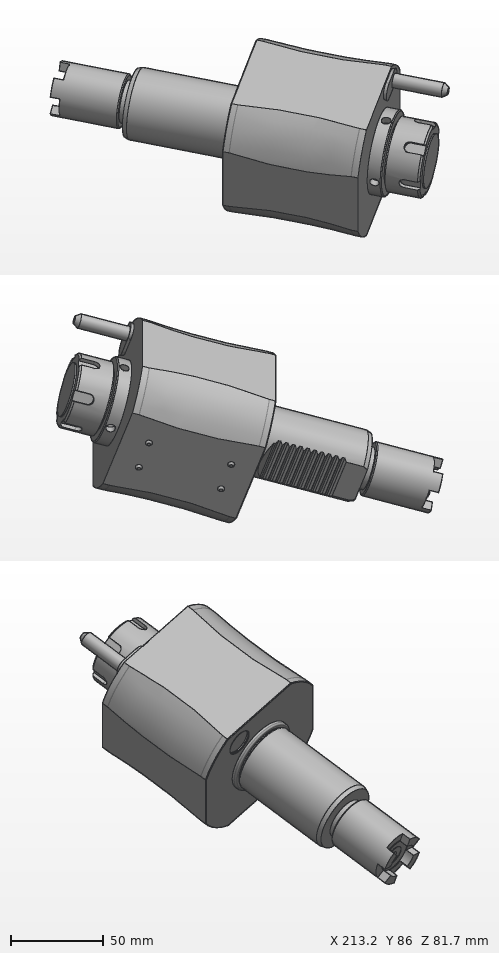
import cadquery as cq
import math


body_start = 104.7
body_end = 180.8
body_width = 86.0
body_height = 80.4
corner_radius = 47.5
waist_radius = 46.3
land_length = 3.8
edge_chamfer = 0.5

drive_radius = 15.1
drive_end = 38.2
drive_chamfer = 0.6
tooth_length = 5.3
tooth_inner_radius = 10.0
notch_half_angle = 24.5
notch_count = 4
core_recess = 0.5
center_step_radius = 5.5
center_step_depth = 0.2
center_hole_radius = 2.0
center_hole_depth = 2.1

neck_radius = 12.0
shank_start = 42.0
shank_radius = 20.0
shank_chamfer_length = 2.5
shank_chamfer_height = 0.9
relief_start = 101.0
relief_end = 102.1
relief_radius = 19.5
collar_radius = 22.0
collar_round = 1.0

flat_drop = 16.0
flat_end = 95.7
groove_pitch = 4.0
groove_depth = 1.3
groove_floor = 1.3
groove_count = 10
first_groove = 56.5

flange_end = 188.7
flange_radius = 24.0
flange_chamfer = 0.6
nut_start = 190.0
nut_end = 209.1
nut_radius = 20.9
nut_chamfer = 1.0
gap_radius = 18.1
nose_radius = 15.1
nose_end = 210.0
spanner_slot_count = 6
spanner_slot_start = 197.8
spanner_slot_width = 6.0
spanner_slot_depth = 2.3
pin_hole_count = 4
pin_hole_x = 184.8
pin_hole_radius = 2.5
pin_hole_depth = 4.3
pin_hole_point = 1.5

pipe_y = 23.2
pipe_z = 32.0
pipe_radius = 4.0
pipe_end = 213.2
pipe_tip_length = 2.8
pipe_tip_radius = 2.1
seat_y = 18.5
seat_z = 33.3
seat_length = 19.8
seat_height = 10.2
seat_thickness = 2.0
seat_flare = 18.0
plug_y = 16.0
plug_z = 27.7
plug_radius = 7.7
plug_depth = 1.3
plug_chamfer = 0.5

foot_height = 1.3
foot_base_radius = 2.0
foot_tip_radius = 0.9
foot_x = (119.0, 165.9)
foot_y = (-8.7, 8.7)

overlap = 1.0


def turned(outline):
    """Solid of revolution about X from (x, radius) points."""
    return cq.Workplane("XY").polyline(outline).close().revolve(360, (0, 0, 0), (1, 0, 0))


def facing_x(x, y=0, z=0):
    """Workplane at (x, y, z) looking along +X, with local axes Y and Z."""
    return cq.Workplane("YZ", origin=(x, y, z))


def around_axis(shape, count):
    """Equally spaced copies of a shape about the X axis."""
    return [shape.rotate((0, 0, 0), (1, 0, 0), i * 360 / count) for i in range(count)]


def housing():
    """Block whose long edges are rounded, slightly waisted between two end lands."""
    block = (
        facing_x(body_start)
        .rect(body_width, body_height)
        .extrude(body_end - body_start)
        .faces("<X")
        .chamfer(edge_chamfer)
    )
    middle = (body_start + body_end) / 2
    envelope = (
        cq.Workplane("XY")
        .moveTo(body_start, 0)
        .lineTo(body_start, corner_radius - edge_chamfer)
        .lineTo(body_start + edge_chamfer, corner_radius)
        .lineTo(body_start + land_length, corner_radius)
        .threePointArc((middle, waist_radius), (body_end - land_length, corner_radius))
        .lineTo(body_end, corner_radius)
        .lineTo(body_end, 0)
        .close()
        .revolve(360, (0, 0, 0), (1, 0, 0))
    )
    plug_recess = turned([
        (0, 0),
        (0, plug_radius),
        (plug_chamfer, plug_radius - plug_chamfer),
        (plug_depth, plug_radius - plug_chamfer),
        (plug_depth, 0),
    ]).translate((body_start, plug_y, plug_z))
    return block.intersect(envelope).cut(plug_recess)


def shaft():
    """Turned drive end, neck, shank and collar."""
    body = turned([
        (0, 0),
        (0, drive_radius),
        (drive_end - drive_chamfer, drive_radius),
        (drive_end, drive_radius - drive_chamfer),
        (drive_end, neck_radius),
        (shank_start, neck_radius),
        (shank_start, shank_radius - shank_chamfer_height),
        (shank_start + shank_chamfer_length, shank_radius),
        (relief_start, shank_radius),
        (relief_start, relief_radius),
        (relief_end, relief_radius),
        (relief_end, 0),
    ])
    collar_length = body_start + overlap - relief_end
    collar = (
        facing_x(relief_end)
        .circle(collar_radius)
        .extrude(collar_length)
        .faces("<X")
        .edges()
        .fillet(collar_round)
    )
    return body.union(collar)


def drive_cuts():
    """Space between the drive teeth, and the centre hole behind it."""
    reach = 2 * drive_radius
    half_width = reach * math.tan(math.radians(notch_half_angle))
    notch = (
        cq.Workplane("YZ")
        .polyline([(0, 0), (reach, -half_width), (reach, half_width)])
        .close()
        .extrude(tooth_length)
    )
    floor = tooth_length + core_recess
    core = turned([
        (0, 0),
        (0, tooth_inner_radius),
        (floor, tooth_inner_radius),
        (floor, center_step_radius),
        (floor + center_step_depth, center_step_radius),
        (floor + center_step_depth, center_hole_radius),
        (floor + center_hole_depth, center_hole_radius),
        (floor + center_hole_depth, 0),
    ])
    return around_axis(notch, notch_count) + [core]


def serration_cut():
    """Flat under the shank with a 45 degree runout, and trapezoid grooves across it."""
    below = -2 * shank_radius
    half_floor = groove_floor / 2
    half_mouth = half_floor + groove_depth
    outline = [(shank_start, below), (shank_start, -flat_drop)]
    for i in range(groove_count):
        x = first_groove + i * groove_pitch
        outline += [
            (x - half_mouth, -flat_drop),
            (x - half_floor, -flat_drop + groove_depth),
            (x + half_floor, -flat_drop + groove_depth),
            (x + half_mouth, -flat_drop),
        ]
    runout = shank_radius - flat_drop
    outline += [
        (flat_end, -flat_drop),
        (flat_end + runout, -shank_radius),
        (flat_end + runout, below),
    ]
    return cq.Workplane("XZ").polyline(outline).close().extrude(shank_radius, both=True)


def collet_nut():
    """Flange, gap, nut and nose, with spanner slots and pin holes."""
    nut = turned([
        (body_end - overlap, 0),
        (body_end - overlap, flange_radius),
        (flange_end - flange_chamfer, flange_radius),
        (flange_end, flange_radius - flange_chamfer),
        (flange_end, gap_radius),
        (nut_start, gap_radius),
        (nut_start, nut_radius),
        (nut_end - nut_chamfer, nut_radius),
        (nut_end, nut_radius - nut_chamfer),
        (nut_end, nose_radius),
        (nose_end, nose_radius),
        (nose_end, 0),
    ])
    slot_round_x = spanner_slot_start + spanner_slot_width / 2
    slot_floor = cq.Workplane("XZ", origin=(0, -nut_radius + spanner_slot_depth, 0))
    slot = (
        slot_floor.moveTo(slot_round_x, 0).circle(spanner_slot_width / 2).extrude(nut_radius)
        .union(
            slot_floor
            .moveTo((slot_round_x + nose_end) / 2, 0)
            .rect(nose_end - slot_round_x, spanner_slot_width)
            .extrude(nut_radius)
        )
    )
    pin_hole_end = flange_radius - pin_hole_depth
    pin_hole = (
        cq.Workplane("XY")
        .polyline([
            (0, pin_hole_end - pin_hole_point),
            (pin_hole_radius, pin_hole_end),
            (pin_hole_radius, flange_radius + overlap),
            (0, flange_radius + overlap),
        ])
        .close()
        .revolve(360, (0, 0, 0), (0, 1, 0))
        .translate((pin_hole_x, 0, 0))
    )
    for cutter in around_axis(slot, spanner_slot_count) + around_axis(pin_hole, pin_hole_count):
        nut = nut.cut(cutter)
    return nut


def coolant_pipe():
    """Pipe with a tapered tip, standing on a flared oblong seat."""
    tip_start = pipe_end - pipe_tip_length
    pipe = turned([
        (body_end - overlap, 0),
        (body_end - overlap, pipe_radius),
        (tip_start, pipe_radius),
        (pipe_end, pipe_tip_radius),
        (pipe_end, 0),
    ]).translate((0, pipe_y, pipe_z))
    seat = (
        facing_x(body_end, seat_y, seat_z)
        .slot2D(seat_length, seat_height)
        .extrude(seat_thickness, taper=-seat_flare)
    )
    return pipe.union(seat)


def feet():
    """Small blunt cones under the block."""
    cone = cq.Solid.makeCone(
        foot_base_radius, foot_tip_radius, foot_height,
        pnt=cq.Vector(0, 0, -body_height / 2), dir=cq.Vector(0, 0, -1),
    )
    return [cone.translate(cq.Vector(x, y, 0)) for x in foot_x for y in foot_y]


spindle = shaft().cut(serration_cut())
for cutter in drive_cuts():
    spindle = spindle.cut(cutter)

result = housing().union(spindle).union(collet_nut()).union(coolant_pipe())
for foot in feet():
    result = result.union(cq.Workplane(foot))